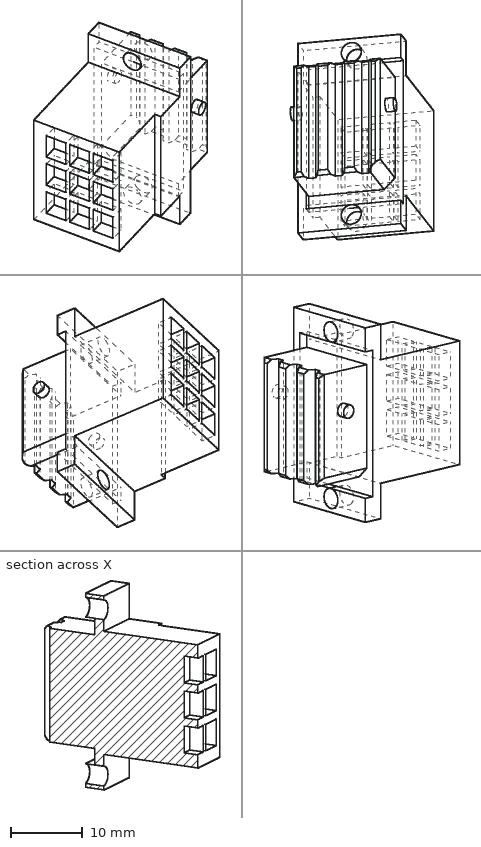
import cadquery as cq


width = 14.8
length = 24.85
flange_height = 28.0

flange_front = 14.8
flange_back = 17.72
body_height = 17.8

step_width = 0.98
step_length = 9.7

mounting_hole_diameter = 2.85
mounting_hole_x = -0.28
mounting_hole_spacing = 23.97

pocket_count = 3
pocket_width = 3.15
pocket_height = 3.8
pocket_depth = 2.15
contact_pitch = 3.8
row_pitch = 5.05

recess_height = 21.08
recess_floor = 16.35

block_width = 12.4
block_height = 16.45
end_chamfer = 0.55
edge_bevel = 1.57

groove_depth = 1.45
groove_mouth = 2.45
groove_bottom = 0.95

pin_diameter = 1.9
pin_y = 20.85
pin_z = 2.52


def box(x_range, y_range, z_range):
    """Box spanning the given (low, high) ranges."""
    lows, highs = zip(x_range, y_range, z_range)
    sizes = [high - low for low, high in zip(lows, highs)]
    return cq.Workplane("XY").box(*sizes, centered=False).translate(lows)


def span(size):
    """Range of the given size, centred on zero."""
    return -size / 2, size / 2


def centred_positions(pitch):
    """Positions of the contacts along one direction, centred on zero."""
    return [(i - (pocket_count - 1) / 2) * pitch for i in range(pocket_count)]


def make_housing():
    """Mating body with its side step, joined to the mounting flange."""
    body = box(span(width), (0, flange_back), span(body_height))
    step = box((width / 2 - step_width, width / 2), (0, step_length), span(body_height))
    flange = box(span(width), (flange_front, flange_back), span(flange_height))
    recess = box((-width / 2, block_width / 2), (recess_floor, flange_back), span(recess_height))
    return body.cut(step).union(flange).cut(recess)


def make_mounting_holes():
    holes = [(mounting_hole_x, side * mounting_hole_spacing / 2) for side in (-1, 1)]
    return (
        cq.Workplane("XZ")
        .pushPoints(holes)
        .circle(mounting_hole_diameter / 2)
        .extrude(-length)
    )


def make_pockets():
    centres = [(x, z) for x in centred_positions(contact_pitch) for z in centred_positions(row_pitch)]
    return (
        cq.Workplane("XZ")
        .pushPoints(centres)
        .rect(pocket_width, pocket_height)
        .extrude(-pocket_depth)
    )


def make_rear_block():
    """Block behind the flange, chamfered at its end, then bevelled along the -X, -Z edge."""
    block = box(span(block_width), (recess_floor, length), span(block_height))
    block = block.faces(">Y").edges().chamfer(end_chamfer)
    corner_x = -block_width / 2
    corner_z = -block_height / 2
    bevel = (
        cq.Workplane("XZ")
        .polyline([
            (corner_x, corner_z),
            (corner_x + edge_bevel, corner_z),
            (corner_x, corner_z + edge_bevel),
        ])
        .close()
        .extrude(-length)
    )
    return block.cut(bevel)


def make_grooves():
    """Trapezoidal grooves running the full height of the rear end."""
    grooves = cq.Workplane("XY")
    for x in centred_positions(contact_pitch):
        groove = (
            cq.Workplane("XY")
            .polyline([
                (x - groove_mouth / 2, length),
                (x + groove_mouth / 2, length),
                (x + groove_bottom / 2, length - groove_depth),
                (x - groove_bottom / 2, length - groove_depth),
            ])
            .close()
            .extrude(block_height / 2, both=True)
        )
        grooves = grooves.add(groove)
    return grooves.combine()


def make_pins():
    """One rod through the rear block forms the pin on each side."""
    return (
        cq.Workplane("YZ")
        .center(pin_y, pin_z)
        .circle(pin_diameter / 2)
        .extrude(width / 2, both=True)
    )


housing = make_housing().cut(make_mounting_holes()).cut(make_pockets())
rear_block = make_rear_block().cut(make_grooves()).union(make_pins())
result = housing.union(rear_block)